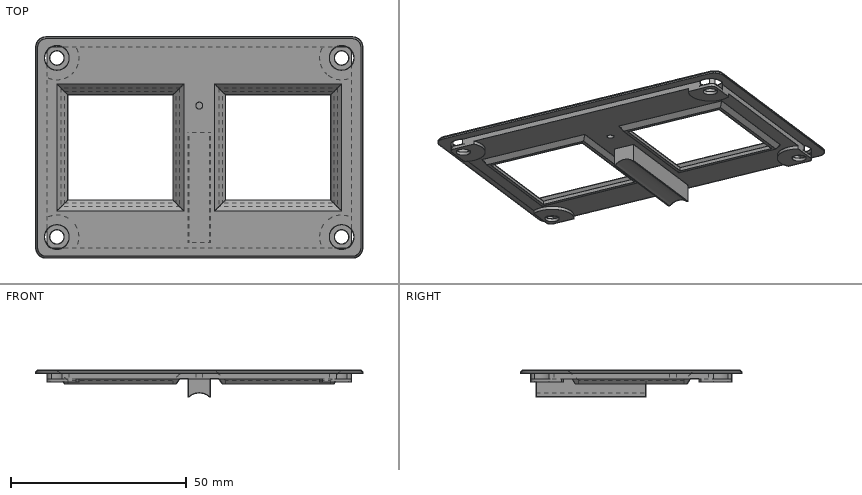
import cadquery as cq

flange_length = 93.0
flange_width = 63.0
flange_thickness = 1.0
flange_corner_radius = 3.0
flange_chamfer = 0.6

body_length = 86.6
body_width = 57.2
body_depth = 2.5
body_corner_radius = 1.5
pad_diameter = 12.5
pad_depth = 3.4

screw_edge_distance = 6.0
screw_diameter = 4.0
screw_head_diameter = 7.0

window_offset = 22.4
window_top_size = 36.1
window_bottom_size = 29.85
funnel_top_size = 37.0
funnel_bottom_size = 31.7
funnel_depth = 4.0
lip_height = 1.0

rib_width = 6.3
rib_back = 4.2
rib_front = -27.1
total_depth = 7.6
groove_radius = 4.3
groove_height = 1.1

blind_hole_diameter = 1.95
blind_hole_y = 11.9
blind_hole_skin = 0.2

screw_x = flange_length / 2 - screw_edge_distance
screw_y = flange_width / 2 - screw_edge_distance
screw_centers = [(x, y, 0) for x in (-screw_x, screw_x) for y in (-screw_y, screw_y)]


def slab(length, width, top, bottom):
    """Rectangular block centred in X and Y, between two depths below the top face."""
    return cq.Workplane("XY").workplane(offset=-bottom).rect(length, width).extrude(bottom - top)


def cylinder(diameter, top, bottom):
    """Vertical cylinder on the Z axis between two depths below the top face."""
    return cq.Workplane("XY").workplane(offset=-bottom).circle(diameter / 2).extrude(bottom - top)


def square_frustum(top_size, bottom_size, height):
    """Square block that narrows from Z = 0 down to Z = -height."""
    return (
        cq.Workplane("XY")
        .rect(top_size, top_size)
        .workplane(offset=-height)
        .rect(bottom_size, bottom_size)
        .loft(ruled=True)
    )


def make_flange():
    flange = slab(flange_length, flange_width, 0, flange_thickness)
    flange = flange.edges("|Z").fillet(flange_corner_radius)
    return flange.faces(">Z").chamfer(flange_chamfer)


def make_body():
    """Rounded block whose full depth is kept only in a round pad at each screw."""
    outline = slab(body_length, body_width, flange_thickness, pad_depth)
    outline = outline.edges("|Z").fillet(body_corner_radius)
    kept = slab(flange_length, flange_width, flange_thickness, body_depth)
    for center in screw_centers:
        kept = kept.union(cylinder(pad_diameter, flange_thickness, pad_depth).translate(center))
    return outline.intersect(kept)


def make_funnel():
    """Walls around a window; they taper all the way down to the lower rim."""
    funnel = square_frustum(funnel_top_size, funnel_bottom_size, funnel_depth)
    return funnel.intersect(slab(funnel_top_size, funnel_top_size, flange_thickness, funnel_depth))


def make_window():
    """Opening of a window: tapered above, straight through the lip at the bottom."""
    taper_depth = funnel_depth - lip_height
    taper = square_frustum(window_top_size, window_bottom_size, taper_depth)
    return taper.union(slab(window_bottom_size, window_bottom_size, taper_depth, funnel_depth))


def make_rib():
    rib_length = rib_back - rib_front
    rib_middle = (rib_back + rib_front) / 2
    rib = slab(rib_width, rib_length, body_depth, total_depth).translate((0, rib_middle, 0))
    groove_center_z = -total_depth + groove_height - groove_radius
    groove = (
        cq.Workplane("XZ", origin=(0, rib_back, 0))
        .center(0, groove_center_z)
        .circle(groove_radius)
        .extrude(rib_length)
    )
    return rib.cut(groove)


result = make_flange().union(make_body()).union(make_rib())

for sign_x in (-1, 1):
    window_center = (sign_x * window_offset, 0, 0)
    result = result.union(make_funnel().translate(window_center))
    result = result.cut(make_window().translate(window_center))

screw_cutter = cylinder(screw_head_diameter, 0, body_depth).union(cylinder(screw_diameter, 0, pad_depth))
for center in screw_centers:
    result = result.cut(screw_cutter.translate(center))

blind_hole = cylinder(blind_hole_diameter, blind_hole_skin, body_depth)
result = result.cut(blind_hole.translate((0, blind_hole_y, 0)))